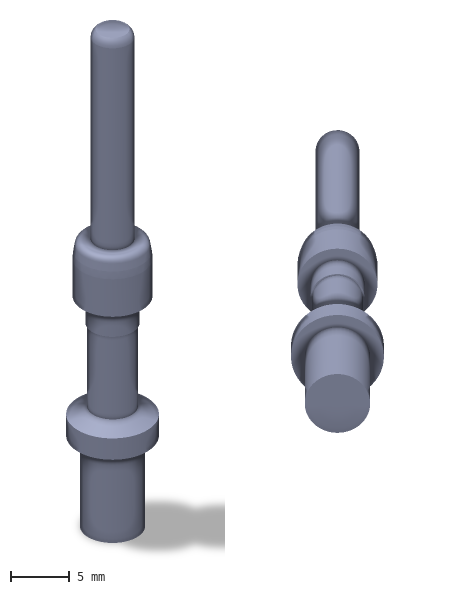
import cadquery as cq
import math

total_length = 49.7
flange_bottom = 9.05
flange_rim_top = 11.2
flange_cone_top = 12.0
neck_step = 20.35
collar_bottom = 23.0
collar_top = 28.75

tail_diameter = 5.55
flange_diameter = 7.9
neck_diameter = 4.3
shoulder_diameter = 4.6
collar_diameter = 6.8
pin_diameter = 3.75

collar_edge_round = 0.6
collar_taper_start = 27.15
collar_taper_angle = 10.0
collar_taper_blend = 4.25
tip_diameter = 2.9
tip_length = 0.8


def cylinder(diameter, bottom, top):
    """Return a cylinder on the Z axis between two heights."""
    return cq.Workplane("XY").workplane(offset=bottom).circle(diameter / 2).extrude(top - bottom)


def cone(bottom_diameter, top_diameter, bottom, top):
    """Return a truncated cone on the Z axis between two heights."""
    profile = [
        (0, bottom),
        (bottom_diameter / 2, bottom),
        (top_diameter / 2, top),
        (0, top),
    ]
    return cq.Workplane("XZ").polyline(profile).close().revolve(360, (0, 0, 0), (0, 1, 0))


def make_tail_and_flange():
    """Plain tail below a flange whose upper face slopes up to the neck."""
    tail = cylinder(tail_diameter, 0, flange_bottom)
    rim = cylinder(flange_diameter, flange_bottom, flange_rim_top)
    slope = cone(flange_diameter, neck_diameter, flange_rim_top, flange_cone_top)
    return tail.union(rim).union(slope)


def make_neck():
    """Slim neck with a slightly larger shoulder under the collar."""
    neck = cylinder(neck_diameter, flange_cone_top, neck_step)
    shoulder = cylinder(shoulder_diameter, neck_step, collar_bottom)
    return neck.union(shoulder)


def make_collar():
    """Collar with a tapered nose, blended into its side and rounded at the top edge."""
    nose_length = collar_top - collar_taper_start
    nose_diameter = collar_diameter - 2 * nose_length * math.tan(math.radians(collar_taper_angle))
    body = cylinder(collar_diameter, collar_bottom, collar_taper_start)
    nose = cone(collar_diameter, nose_diameter, collar_taper_start, collar_top)
    collar = body.union(nose).faces(">Z").edges().fillet(collar_edge_round)
    taper_edge = cq.NearestToPointSelector((0, 0, collar_taper_start))
    return collar.edges("%CIRCLE").edges(taper_edge).fillet(collar_taper_blend)


def make_pin():
    """Long contact pin whose tip curves inward to a smaller flat end."""
    tip_start = total_length - tip_length
    profile = (
        cq.Workplane("XZ")
        .moveTo(0, collar_top)
        .lineTo(pin_diameter / 2, collar_top)
        .lineTo(pin_diameter / 2, tip_start)
        .tangentArcPoint((tip_diameter / 2, total_length), relative=False)
        .lineTo(0, total_length)
        .close()
    )
    return profile.revolve(360, (0, 0, 0), (0, 1, 0))


result = make_tail_and_flange().union(make_neck()).union(make_collar()).union(make_pin())